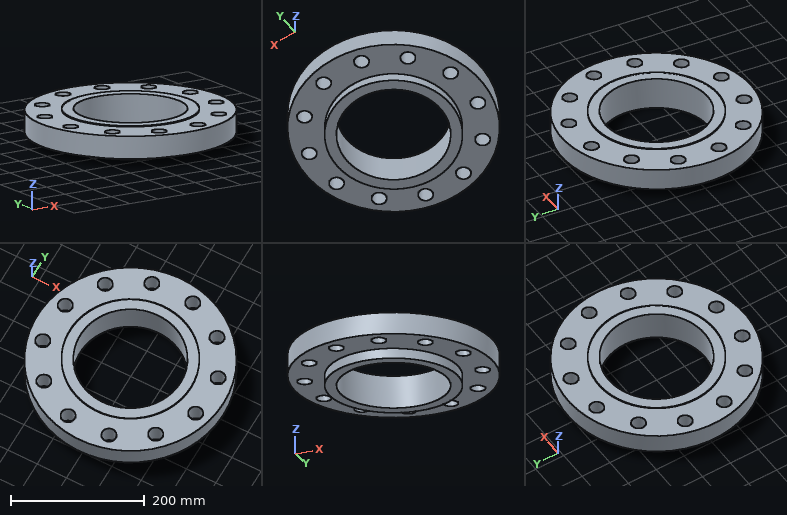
import cadquery as cq

flange_diameter = 317.5
flange_thickness = 35.0

hub_diameter = 206.5
raised_face_height = 1.5
total_height = 52.5
hub_height = total_height - flange_thickness - raised_face_height

bore_diameter = 170.8
bolt_count = 12
bolt_hole_diameter = 22.5
bolt_circle_diameter = 270.0
first_bolt_angle = 360 / bolt_count / 2


def make_body():
    """Hub running the full height, with the flange ring around it."""
    hub = cq.Workplane("XY").circle(hub_diameter / 2).extrude(total_height)
    ring = (
        cq.Workplane("XY")
        .workplane(offset=hub_height)
        .circle(flange_diameter / 2)
        .extrude(flange_thickness)
    )
    return hub.union(ring)


def make_bore():
    return cq.Workplane("XY").circle(bore_diameter / 2).extrude(total_height)


def make_bolt_holes():
    return (
        cq.Workplane("XY")
        .polarArray(bolt_circle_diameter / 2, first_bolt_angle, 360, bolt_count)
        .circle(bolt_hole_diameter / 2)
        .extrude(total_height)
    )


result = make_body().cut(make_bore()).cut(make_bolt_holes())